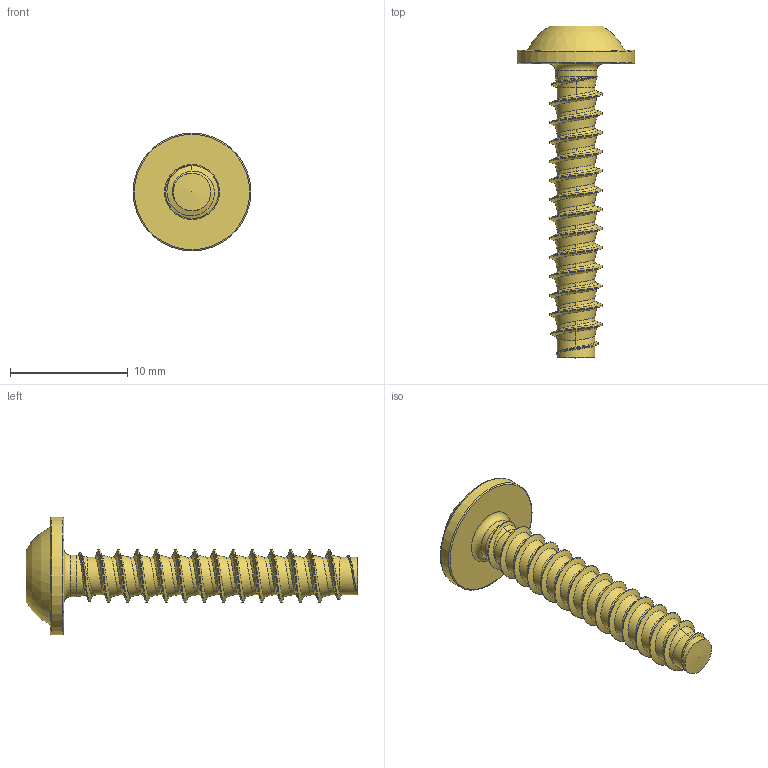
import cadquery as cq
import math


flange_radius = 5.0
flange_thickness = 1.13
flange_edge_radius = 0.1
dome_base_radius = 4.15
dome_top_radius = 2.2
head_height = 3.2

shank_length = 25.0
tip_cone_height = 0.08
neck_radius = 1.77
neck_length = 1.09
neck_fillet = 0.57
core_radius = 1.6
core_taper_end = 2.0

crest_radius = 2.25
pitch = 1.63
first_crest = 1.36
crest_half_width = 0.04
knee_radius = 1.85
knee_half_width = 0.17
head_flank_base = 0.36
tip_flank_base = 0.20
tip_flank_base_radius = 1.78
root_slope_end = 0.96
thread_embed = 0.03

thread_start_radius = 1.85
run_in_turns = 1.25
full_turns = 12.25
run_out_turns = 1.5
thread_end_radius = 1.55
full_thread_start = first_crest + 0.75 * pitch


def revolve_about_axis(outline):
    """Turn a half outline drawn in local XZ (as x, y) around the screw axis."""
    return outline.close().revolve(360, (0, 0, 0), (0, 1, 0)).val().moved(
        cq.Location(cq.Vector(0, 0, 0), cq.Vector(1, 0, 0), 90))


def dome_mid_point():
    """Point halfway along the spherical dome, which is centred on the axis."""
    dome_height = head_height - flange_thickness
    centre = (dome_top_radius**2 + dome_height**2 - dome_base_radius**2) / (2 * dome_height)
    sphere_radius = math.hypot(dome_base_radius, centre)
    mid_height = dome_height / 2
    mid_radius = math.sqrt(sphere_radius**2 - (mid_height - centre)**2)
    return mid_radius, -flange_thickness - mid_height


def make_blank():
    """Head, neck and core as one revolved body."""
    fillet_offset = neck_fillet * (1 - math.sqrt(0.5))
    edge_offset = flange_edge_radius * (1 - math.sqrt(0.5))
    outline = (
        cq.Workplane("XY")
        .moveTo(0, -head_height)
        .lineTo(dome_top_radius, -head_height)
        .threePointArc(dome_mid_point(), (dome_base_radius, -flange_thickness))
        .lineTo(flange_radius - flange_edge_radius, -flange_thickness)
        .threePointArc(
            (flange_radius - edge_offset, -flange_thickness + edge_offset),
            (flange_radius, -flange_thickness + flange_edge_radius),
        )
        .lineTo(flange_radius, -flange_edge_radius)
        .threePointArc(
            (flange_radius - edge_offset, -edge_offset),
            (flange_radius - flange_edge_radius, 0),
        )
        .lineTo(neck_radius + neck_fillet, 0)
        .threePointArc(
            (neck_radius + fillet_offset, fillet_offset),
            (neck_radius, neck_fillet),
        )
        .lineTo(neck_radius, neck_length)
        .lineTo(core_radius, core_taper_end)
        .lineTo(core_radius, shank_length - tip_cone_height)
        .lineTo(0, shank_length)
    )
    return revolve_about_axis(outline)


def make_ridge(start_depth, turns, start_crest, end_crest):
    """Right-hand thread ridge with its sloping root, whose crest runs between two radii."""
    head_flank_run = (head_flank_base - knee_half_width) / (knee_radius - core_radius)
    root_slope_run = (root_slope_end - tip_flank_base) / (tip_flank_base_radius - core_radius)
    sink = crest_radius - start_crest
    base_radius = core_radius - thread_embed - sink
    profile = (
        cq.Workplane("XZ")
        .moveTo(base_radius, -head_flank_base - thread_embed * head_flank_run)
        .lineTo(knee_radius - sink, -knee_half_width)
        .lineTo(start_crest, -crest_half_width)
        .lineTo(start_crest, crest_half_width)
        .lineTo(tip_flank_base_radius - sink, tip_flank_base)
        .lineTo(base_radius, root_slope_end + thread_embed * root_slope_run)
        .close()
    )
    length = turns * pitch
    cone_angle = math.atan((end_crest - start_crest) / length)
    slant = 1 / math.cos(cone_angle)
    helix_angle = math.degrees(cone_angle) or 360
    helix = cq.Wire.makeHelix(pitch * slant, length * slant, start_crest, angle=helix_angle)
    ridge = profile.sweep(cq.Workplane(helix), isFrenet=True)
    phase = 360 * (start_depth - first_crest) / pitch
    return ridge.rotate((0, 0, 0), (0, 0, 1), phase).translate((0, 0, start_depth)).val()


def make_thread():
    """Run-in, full thread and run-out, kept between the neck and the end of the core."""
    run_in_start = full_thread_start - run_in_turns * pitch
    run_out_start = full_thread_start + full_turns * pitch
    threaded_length = shank_length - tip_cone_height - neck_length
    threaded_zone = cq.Solid.makeCylinder(flange_radius, threaded_length, cq.Vector(0, 0, neck_length))
    run_in = make_ridge(run_in_start, run_in_turns, thread_start_radius, crest_radius)
    full_thread = make_ridge(full_thread_start, full_turns, crest_radius, crest_radius)
    run_out = make_ridge(run_out_start, run_out_turns, crest_radius, thread_end_radius)
    return [run_in.intersect(threaded_zone), full_thread, run_out.intersect(threaded_zone)]


screw = make_blank()
for thread_part in make_thread():
    screw = screw.fuse(thread_part)
result = (
    cq.Workplane(screw)
    .rotate((0, 0, 0), (0, 0, 1), 90)
    .rotate((0, 0, 0), (1, 0, 0), 90)
)